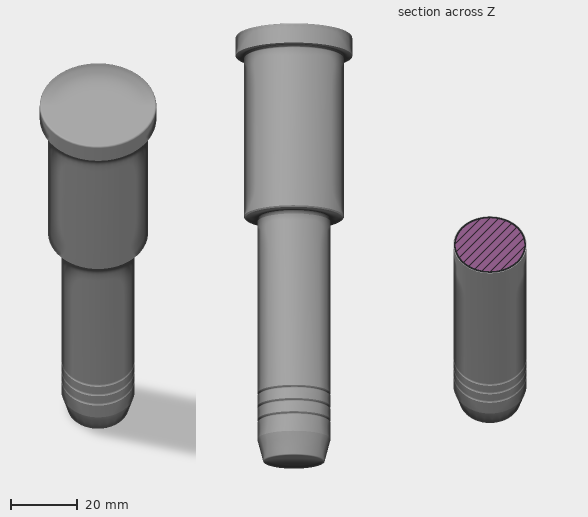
import cadquery as cq

length = 131.0
head_radius = 35.0 / 2
shoulder_radius = 30.0 / 2
pin_radius = 22.0 / 2

head_height = 6.0
shoulder_end = 56.0
head_bottom = length - head_height
shoulder_bottom = length - shoulder_end

head_fillet = 0.5
shoulder_chamfer = 0.4

head_relief_width = 0.8
head_relief_depth = 0.5
neck_width = 1.2
neck_depth = 0.4

tip_height = 7.0
tip_radius = 9.2
tip_fillet = 0.4

groove_count = 3
groove_pitch = 4.0
groove_width = 0.9
groove_depth = 0.5
lowest_groove = 12.0


def cylinder(radius, bottom, top):
    """Cylinder on the Z axis between two heights."""
    return cq.Workplane("XY").workplane(offset=bottom).circle(radius).extrude(top - bottom)


def ring_groove(body, radius, bottom, width, depth):
    """Cut a square ring groove into a cylindrical surface."""
    outer = cylinder(radius + depth, bottom, bottom + width)
    return body.cut(outer.cut(cylinder(radius - depth, bottom, bottom + width)))


def vee_groove(body, radius, bottom, width, depth):
    """Cut a symmetric V-shaped ring groove into a cylindrical surface."""
    groove = (
        cq.Workplane("XZ")
        .polyline([(radius, bottom), (radius - depth, bottom + width / 2), (radius, bottom + width)])
        .close()
        .revolve(360, (0, 0, 0), (0, 1, 0))
    )
    return body.cut(groove)


def make_tip():
    """Truncated cone with a rounded lower edge."""
    cone = (
        cq.Workplane("XZ")
        .polyline([(0, 0), (tip_radius, 0), (pin_radius, tip_height), (0, tip_height)])
        .close()
        .revolve(360, (0, 0, 0), (0, 1, 0))
    )
    return cone.faces("<Z").edges().fillet(tip_fillet)


def make_pin():
    """Pin with its tip, ring grooves and neck relief."""
    pin = cylinder(pin_radius, tip_height, shoulder_bottom).union(make_tip())
    for index in range(groove_count):
        groove_bottom = lowest_groove + index * groove_pitch
        pin = vee_groove(pin, pin_radius, groove_bottom, groove_width, groove_depth)
    return ring_groove(pin, pin_radius, shoulder_bottom - neck_width, neck_width, neck_depth)


def make_shoulder():
    """Shoulder with a chamfered lower edge and a V-shaped relief under the head."""
    shoulder = cylinder(shoulder_radius, shoulder_bottom, head_bottom)
    shoulder = shoulder.faces("<Z").edges().chamfer(shoulder_chamfer)
    relief_bottom = head_bottom - head_relief_width
    return vee_groove(shoulder, shoulder_radius, relief_bottom, head_relief_width, head_relief_depth)


def make_head():
    """Disc head with a rounded top edge."""
    return cylinder(head_radius, head_bottom, length).faces(">Z").edges().fillet(head_fillet)


result = make_pin().union(make_shoulder()).union(make_head())